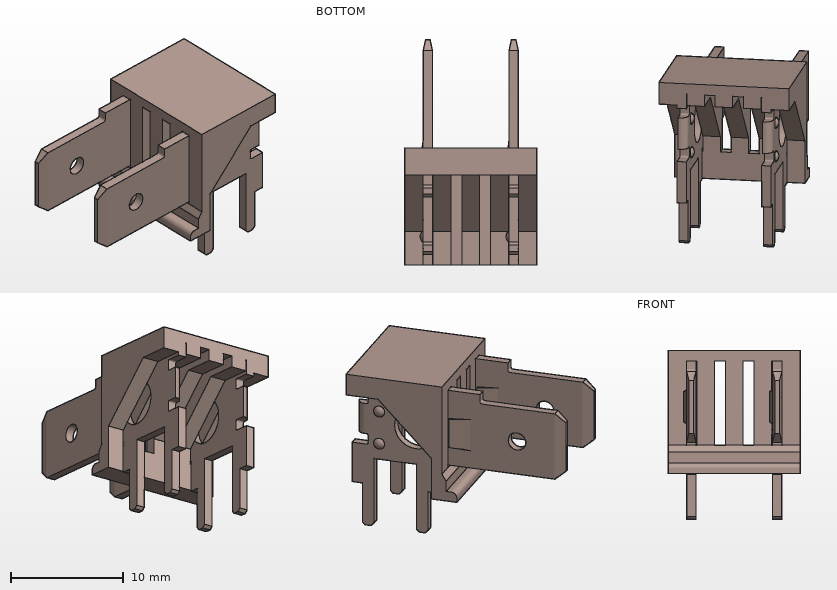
import cadquery as cq


housing_width = 11.75
housing_depth = 9.0
housing_top = 11.0
housing_bottom = 0.08
roof_thickness = 2.0
wall_thickness = 1.0
gusset_size = 5.0
ledge_top = 2.6
ledge_slope_height = 0.6
ledge_reach = 0.4
foot_top = 1.0
foot_reach = 1.4
foot_radius = 0.5

slot_pitch = 2.55
open_slot_width = 0.95
blade_clearance = 0.05
slot_top = 10.05

blade_spacing = 3 * slot_pitch
blade_thickness = 0.85
axis_height = 6.0

tab_reach = 11.0
tab_height = 6.3
tab_shoulder_reach = 3.0
tab_corner_radius = 0.2
tab_hole_diameter = 1.65
tab_hole_reach = 6.48
tip_length = 0.95
tip_drop = 0.8
tip_thickness = 0.42

window_diameter = 4.0
window_inset = 6.0
notch_depth = 1.5
notch_height = 1.0
notch_radius = 0.15
upper_notch_top = 8.7
lower_notch_bottom = 3.8
tongue_inset = 0.45
tongue_radius = 0.75
bump_diameter = 1.05
bump_height = 0.25
bump_radius = ((bump_diameter / 2) ** 2 + bump_height**2) / (2 * bump_height)
bump_inset = 2.55
bump_levels = (4.0, 7.1)

pin_width = 1.08
pin_length = 4.0
pin_inset = 0.95
pin_gap = 4.0
pin_gap_top = 2.5
pin_chamfer = 0.25

barb_rear = 0.1
barb_rear_slope = 0.1
barb_front = 2.1
barb_height = 0.25
barb_rear_half_width = 1.35
barb_front_half_width = 1.5


def box(x_range, y_range, z_range):
    """Box between the given limits along each axis."""
    size = [limits[1] - limits[0] for limits in (x_range, y_range, z_range)]
    return (
        cq.Workplane("XY")
        .box(*size, centered=False)
        .translate((x_range[0], y_range[0], z_range[0]))
    )


def side_cylinder(diameter, y, z):
    """Cylinder along X through the whole thickness of a blade."""
    return (
        cq.Workplane("YZ")
        .center(y, z)
        .circle(diameter / 2)
        .extrude(blade_thickness)
    )


def make_housing():
    """Roof, front wall and gusset with a stepped foot, pierced by four slots."""
    roof_bottom = housing_top - roof_thickness
    housing = (
        cq.Workplane("YZ")
        .moveTo(0, housing_top)
        .lineTo(housing_depth, housing_top)
        .lineTo(housing_depth, roof_bottom)
        .lineTo(wall_thickness + gusset_size, roof_bottom)
        .lineTo(wall_thickness, roof_bottom - gusset_size)
        .lineTo(wall_thickness, housing_bottom)
        .lineTo(-foot_reach, housing_bottom)
        .lineTo(-foot_reach, foot_top - foot_radius)
        .radiusArc((foot_radius - foot_reach, foot_top), foot_radius)
        .lineTo(-ledge_reach, foot_top)
        .lineTo(-ledge_reach, ledge_top - ledge_slope_height)
        .lineTo(0, ledge_top)
        .close()
        .extrude(housing_width / 2, both=True)
    )
    blade_outer = (blade_spacing + blade_thickness) / 2
    blade_slot_inner = blade_outer - blade_thickness - blade_clearance
    open_slot_inner = (slot_pitch - open_slot_width) / 2
    slot_sides = (
        (-blade_outer, -blade_slot_inner),
        (-open_slot_inner - open_slot_width, -open_slot_inner),
        (open_slot_inner, open_slot_inner + open_slot_width),
        (blade_slot_inner, blade_outer),
    )
    for sides in slot_sides:
        housing = housing.cut(box(sides, (0, housing_depth), (ledge_top, slot_top)))
    return housing


def make_tab():
    """Front tab with a bevelled tip, a raised shoulder and a round hole."""
    tab_bottom = axis_height - tab_height / 2
    tab_top = axis_height + tab_height / 2
    tip_start = tip_length - tab_reach
    tab = (
        cq.Workplane("YZ")
        .moveTo(wall_thickness, tab_bottom)
        .lineTo(wall_thickness, slot_top)
        .lineTo(-tab_shoulder_reach, slot_top)
        .lineTo(-tab_shoulder_reach, tab_top + tab_corner_radius)
        .radiusArc((-tab_shoulder_reach - tab_corner_radius, tab_top), tab_corner_radius)
        .lineTo(tip_start, tab_top)
        .lineTo(-tab_reach, tab_top - tip_drop)
        .lineTo(-tab_reach, tab_bottom + tip_drop)
        .lineTo(tip_start, tab_bottom)
        .close()
        .extrude(blade_thickness)
    )
    tip_bevel = (blade_thickness - tip_thickness) / 2
    tapered_plan = (
        cq.Workplane("XY")
        .moveTo(0, wall_thickness)
        .lineTo(0, tip_start)
        .lineTo(tip_bevel, -tab_reach)
        .lineTo(blade_thickness - tip_bevel, -tab_reach)
        .lineTo(blade_thickness, tip_start)
        .lineTo(blade_thickness, wall_thickness)
        .close()
        .extrude(housing_top)
    )
    hole = side_cylinder(tab_hole_diameter, -tab_hole_reach, axis_height)
    return tab.intersect(tapered_plan).cut(hole)


def make_bump():
    """Spherical cap standing out of the -X face, its rim on that face."""
    return (
        cq.Workplane("XZ")
        .moveTo(-bump_height, 0)
        .radiusArc((0, bump_diameter / 2), bump_radius)
        .lineTo(0, 0)
        .close()
        .revolve(360, (0, 0, 0), (1, 0, 0))
    )


def make_body():
    """Rear body with two edge notches, a rounded tongue, a window and two bumps."""
    thickness = (0, blade_thickness)
    body = box(thickness, (wall_thickness, housing_depth), (0, slot_top))

    notch_floor = housing_depth - notch_depth
    tongue_bottom = lower_notch_bottom + notch_height
    tongue_top = upper_notch_top - notch_height
    for bottom in (lower_notch_bottom, tongue_top):
        notch = box(thickness, (notch_floor, housing_depth), (bottom, bottom + notch_height))
        body = body.cut(notch.edges("|X and <Y").fillet(notch_radius))
    tongue_end = housing_depth - tongue_inset
    body = body.cut(box(thickness, (tongue_end, housing_depth), (tongue_bottom, tongue_top)))
    tongue_edge = cq.selectors.NearestToPointSelector((0, tongue_end, axis_height))
    body = body.edges(tongue_edge).fillet(tongue_radius)

    body = body.cut(side_cylinder(window_diameter, housing_depth - window_inset, axis_height))

    for level in bump_levels:
        body = body.union(make_bump().translate((0, housing_depth - bump_inset, level)))
    return body


def add_pins(body):
    """Two chamfered solder pins below the body, with a gap rising between them."""
    thickness = (0, blade_thickness)
    rear_pin_front = housing_depth - pin_inset - pin_width
    front_pin_front = rear_pin_front - pin_gap - pin_width
    gap = box(thickness, (rear_pin_front - pin_gap, rear_pin_front), (0, pin_gap_top))
    body = body.cut(gap)
    for front in (front_pin_front, rear_pin_front):
        pin = box(thickness, (front, front + pin_width), (-pin_length, 0))
        body = body.union(pin.edges("|X and <Z").chamfer(pin_chamfer))
    return body


def make_barb():
    """Wedge rising rearwards from the tab face, its edges spreading to the front."""
    wedge = (
        cq.Workplane("XY")
        .moveTo(0, -barb_front)
        .lineTo(-barb_height, -barb_rear - barb_rear_slope)
        .lineTo(0, -barb_rear)
        .close()
        .extrude(housing_top)
    )
    outline = (
        cq.Workplane("YZ")
        .moveTo(-barb_rear, axis_height - barb_rear_half_width)
        .lineTo(-barb_rear, axis_height + barb_rear_half_width)
        .lineTo(-barb_front, axis_height + barb_front_half_width)
        .lineTo(-barb_front, axis_height - barb_front_half_width)
        .close()
        .extrude(-barb_height)
    )
    return wedge.intersect(outline)


blade = add_pins(make_body()).union(make_tab()).union(make_barb())

result = make_housing()
for side in (-1, 1):
    blade_face = (side * blade_spacing - blade_thickness) / 2
    result = result.union(blade.translate((blade_face, 0, 0)))